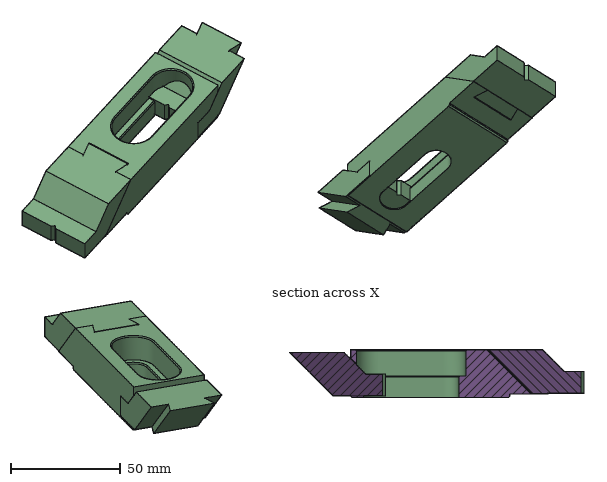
import cadquery as cq

overall_length = 135.0
width = 35.0
height = 22.0
block_back = 107.0
step_front = 34.0
step_height = 1.6
foot_chamfer = 0.7

jaw_height = 20.0
lip_length = 9.0
slope_run = 10.0
flat_length = 18.0
tail_length = 7.0
tail_wide = 21.9
tail_neck = 18.0
notch_width = 2.7
notch_depth = notch_width / 2
shoulder = lip_length + slope_run + flat_length
jaw_length = shoulder + tail_length

front_tip = -overall_length / 2
front_jaw_bottom = height - jaw_height
rear_jaw_bottom = 0.8
rear_tip = front_tip + overall_length - jaw_length
block_end = front_tip + block_back

tail_gap = 0.4

slot_front = front_tip + 64.3
slot_back = front_tip + 94.3
slot_wide = 20.0
slot_narrow = 13.5
ledge_height = 10.0
slot_chamfer = 0.5


def side_prism(points, prism_width):
    """Extrude a (Y, Z) outline symmetrically about the X = 0 plane."""
    return cq.Workplane("YZ").polyline(points).close().extrude(prism_width / 2, both=True)


def dovetail(gap=0):
    """Dovetail leaning back at 45 degrees behind the shoulder of a jaw whose tip is at Y = 0.

    A gap continues the tail straight back, which makes the socket longer than the tail.
    """
    tail_end = shoulder + tail_length
    outline = [
        (-tail_wide / 2, tail_end),
        (-tail_neck / 2, shoulder),
        (tail_neck / 2, shoulder),
        (tail_wide / 2, tail_end),
    ]
    if gap > 0:
        outline += [(tail_wide / 2, tail_end + gap), (-tail_wide / 2, tail_end + gap)]
    bottom = [cq.Vector(x, y - jaw_height, 0) for x, y in outline]
    face = cq.Face.makeFromWires(cq.Wire.makePolygon(bottom, close=True))
    return cq.Workplane(cq.Solid.extrudeLinear(face, cq.Vector(0, jaw_height, jaw_height)))


def make_jaw(tip, bottom):
    """Stepped jaw with a V notch in its tip and a dovetail tail on its leaning back."""
    lip_height = jaw_height - slope_run
    jaw = side_prism([
        (0, 0),
        (0, lip_height),
        (lip_length, lip_height),
        (lip_length + slope_run, jaw_height),
        (shoulder, jaw_height),
        (shoulder - jaw_height, 0),
    ], width)
    notch = (
        cq.Workplane("XY")
        .polyline([(-notch_width / 2, 0), (notch_width / 2, 0), (0, notch_depth)])
        .close()
        .extrude(lip_height)
    )
    return jaw.union(dovetail()).cut(notch).translate((0, tip, bottom))


def slot_sketch(slot_width, level):
    travel = slot_back - slot_front
    return (
        cq.Workplane("XY", origin=(0, (slot_front + slot_back) / 2, level))
        .slot2D(travel + slot_width, slot_width, 90)
    )


def slot_cutter(slot_width, bottom, top):
    """Straight slot with a 45 degree chamfer around its upper rim."""
    straight = slot_sketch(slot_width, bottom).extrude(top - bottom)
    rim = slot_sketch(slot_width + 2 * slot_chamfer, top).extrude(-slot_chamfer, taper=45)
    return straight.union(rim)


def make_block(rear_jaw):
    """Main block with the front jaw's socket, the bolt slot and the rear jaw's recess."""
    nose = front_tip + shoulder
    foot_front = front_tip + step_front
    block = side_prism([
        (nose, height),
        (nose - height + step_height, step_height),
        (foot_front, step_height),
        (foot_front, foot_chamfer),
        (foot_front + foot_chamfer, 0),
        (block_end - foot_chamfer, 0),
        (block_end, foot_chamfer),
        (block_end, height),
    ], width)
    socket = dovetail(tail_gap).translate((0, front_tip, front_jaw_bottom))
    block = block.cut(socket)
    block = block.cut(slot_cutter(slot_wide, ledge_height, height))
    block = block.cut(slot_cutter(slot_narrow, 0, ledge_height))
    return block.cut(rear_jaw)


front_jaw, rear_jaw = [
    make_jaw(tip, bottom)
    for tip, bottom in [(front_tip, front_jaw_bottom), (rear_tip, rear_jaw_bottom)]
]
block = make_block(rear_jaw)

result = cq.Compound.makeCompound([
    *block.solids().vals(),
    *front_jaw.solids().vals(),
    *rear_jaw.solids().vals(),
])